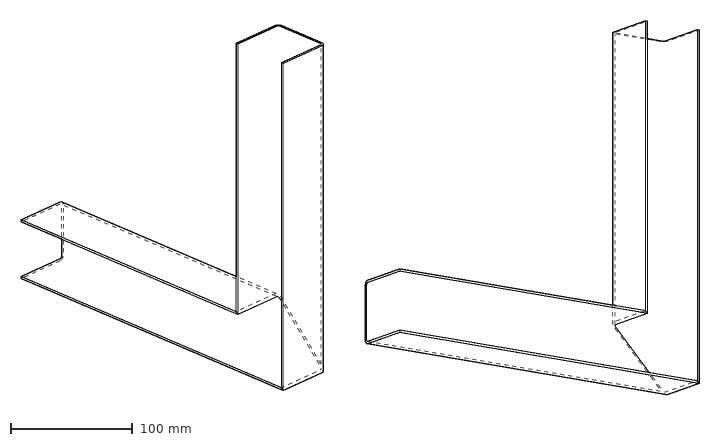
import cadquery as cq

leg_length = 300.0
channel_depth = 50.0
channel_width = 54.0
wall = 2.0
inner_bend_radius = 2.0
outer_bend_radius = inner_bend_radius + wall


def channel_block(width, depth, corner_radius):
    """Full-length horizontal bar on y = 0 to depth, rounded along its two +Y edges."""
    return (
        cq.Workplane("XY")
        .box(leg_length, depth, width, centered=(False, False, True))
        .edges("|X and >Y")
        .fillet(corner_radius)
        .translate((0, 0, channel_width / 2))
    )


def square_cut_channel():
    """Straight U-channel along X: web at +Y, flanges at bottom and top."""
    outside = channel_block(channel_width, channel_depth, outer_bend_radius)
    inside = channel_block(channel_width - 2 * wall, channel_depth - wall, inner_bend_radius)
    return outside.cut(inside)


def horizontal_channel_body():
    """Channel along X, trimmed at 45 degrees from the outer corner of the elbow."""
    miter_side = (
        cq.Workplane("XZ")
        .polyline([(0, 0), (leg_length, 0), (0, leg_length)])
        .close()
        .extrude(-channel_depth)
    )
    return square_cut_channel().intersect(miter_side)


def upright_channel_body(horizontal):
    """Channel along Z: the horizontal one mirrored across the miter plane."""
    miter_normal = cq.Vector(1, 0, 1)
    return horizontal.mirror(miter_normal, (leg_length, 0, 0))


horizontal_channel = horizontal_channel_body()
upright_channel = upright_channel_body(horizontal_channel)

result = cq.Compound.makeCompound([horizontal_channel.val(), upright_channel.val()])